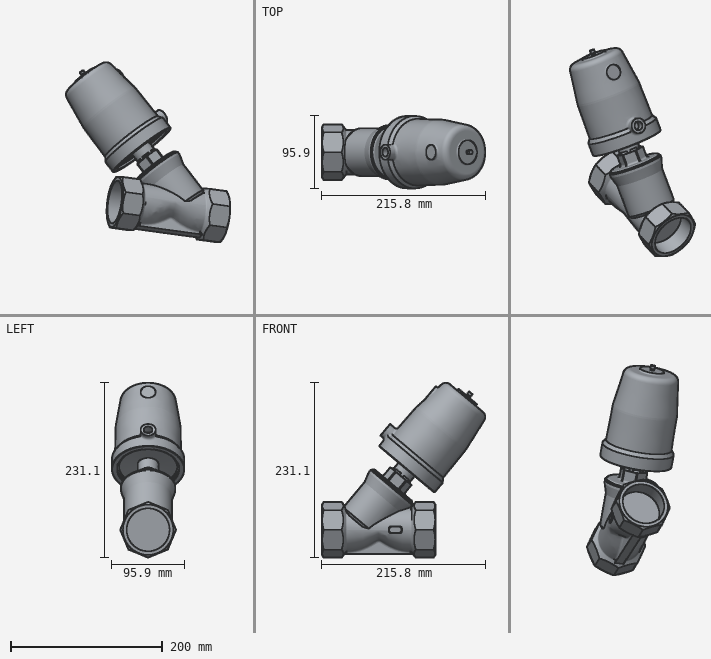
import cadquery as cq
import math

body_length = 150.0
mid_x = body_length / 2
port_flats = 68.1
port_sides = 8
port_corner_radius = port_flats / 2 / math.cos(math.pi / port_sides)
port_bore_diameter = 56.66
port_bore_depth = 24.0
port_face_radius = 33.2
port_face_chamfer = 2.5
port_prism_length = 26.0
pipe_radius = 29.5
port_neck_fillet = 2.0
port_cone_angle = math.radians(50.0)
port_cone_end = port_prism_length + (port_corner_radius - pipe_radius) / math.tan(port_cone_angle)
port_neck_setback = port_neck_fillet * math.tan(port_cone_angle / 2)
port_length = port_cone_end + port_neck_setback
pipe_length = body_length - 2 * port_length

waist_depth = 14.7
waist_half_length = 39.0
waist_rounding = 2.5
waist_sections = 13
web_half_thickness = 6.0
web_bottom = 32.0
web_fillet = 3.0
web_end_overlap = 4.0

plate_x = 97.0
plate_length = 17.6
plate_height = 9.2
plate_corner_radius = 3.5
plate_face_y = 30.4
plate_bevel = 0.8
plate_thickness = 5.0

axis_tilt = 40.0
axis_x = 45.0

branch_start = 8.6
branch_foot_top = 12.0
flare_start = 55.4
rim_start = 69.0
rim_top = 73.0
flange_top = 76.8
hex_top = 92.4
collar_top = 95.4
actuator_bottom = 104.1
skirt_top = 121.3
shell_start = 126.8
band_start = 173.1
band_end = 175.8
actuator_top = 226.9
cap_top = 229.6

branch_radius = 31.85
branch_foot_radius = pipe_radius
rim_radius = 36.0
flange_radius = 34.5
flange_chamfer = 1.8
hex_flats = 32.5
hex_sides = 6
hex_round_diameter = 36.6
hex_base_fillet = 2.8
collar_base_radius = 15.8
neck_radius = 14.0
slot_width = 4.8

skirt_radius = 47.93
skirt_chamfer = 0.6
shell_base_radius = 44.1
band_radius = 43.3
band_step = 0.2
shell_top_radius = 35.9
top_fillet = 8.3
recess_radius = 82.1 / 2
recess_shelf_depth = 3.5
recess_inner_wall_end = 5.0
recess_depth = 8.0
recess_inner_radius = 38.4

air_port_height = 126.0
air_port_face = 55.2
blank_port_height = 202.9
blank_port_face = 41.1
boss_diameter = 20.0
boss_inner_end = 30.0
air_boss_fillet = 3.0
blank_boss_fillet = 2.0
air_bore_diameter = 11.45
air_bore_depth = 12.0

cap_diameter = 32.0
cap_foot_fillet = 1.8
stem_diameter = 5.0
stem_head_diameter = 6.0
stem_head_start = 231.7
stem_top = 235.9


def incline(shape):
    """Move a shape built along Z onto the inclined axis."""
    return shape.rotate((0, 0, 0), (0, 1, 0), axis_tilt).translate((axis_x, 0, 0))


def turned(points):
    """Revolve a (radius, height) outline about Z."""
    return cq.Workplane("XZ").polyline(points).close().revolve(360, (0, 0, 0), (0, 1, 0))


def port():
    """Octagonal end with turned corners and a blind bore, at the left end of the pipe."""
    prism = (
        cq.Workplane("YZ")
        .polygon(port_sides, 2 * port_corner_radius)
        .extrude(port_length)
    )
    fillet_start = (
        port_cone_end - port_neck_setback * math.cos(port_cone_angle),
        pipe_radius + port_neck_setback * math.sin(port_cone_angle),
    )
    fillet_middle = (
        port_length - port_neck_fillet * math.sin(port_cone_angle / 2),
        pipe_radius + port_neck_fillet * (1 - math.cos(port_cone_angle / 2)),
    )
    envelope = (
        cq.Workplane("XY")
        .lineTo(0, port_face_radius)
        .lineTo(port_face_chamfer, port_corner_radius)
        .lineTo(port_prism_length, port_corner_radius)
        .lineTo(*fillet_start)
        .threePointArc(fillet_middle, (port_length, pipe_radius))
        .lineTo(port_length, 0)
        .close()
        .revolve(360, (0, 0, 0), (1, 0, 0))
    )
    bore = cq.Workplane("YZ").circle(port_bore_diameter / 2).extrude(port_bore_depth)
    return prism.intersect(envelope).cut(bore)


def half_pipe_top():
    return (
        cq.Workplane("YZ", origin=(port_length, 0, 0))
        .moveTo(-pipe_radius, 0)
        .threePointArc((0, pipe_radius), (pipe_radius, 0))
        .close()
        .extrude(pipe_length)
    )


def waisted_underside():
    """Lower half of the pipe, pinched upwards at the middle of the body."""
    sections = []
    for i in range(waist_sections):
        x = port_length + pipe_length * i / (waist_sections - 1)
        from_middle = math.hypot(x - mid_x, waist_rounding) - waist_rounding
        rise = max(0.0, 1 - from_middle / waist_half_length)
        depth = pipe_radius - (pipe_radius - waist_depth) * rise**2
        section = (
            cq.Workplane("YZ", origin=(x, 0, 0))
            .moveTo(-pipe_radius, 0)
            .ellipseArc(pipe_radius, depth, 180, 360, startAtCurrent=True)
            .close()
        )
        sections.append(section.val())
    return cq.Workplane(cq.Solid.makeLoft(sections))


def web(length):
    """Upright plate under the pipe, in the middle plane of the body."""
    return cq.Workplane("XY", origin=(mid_x, 0, -web_bottom)).box(
        length, 2 * web_half_thickness, web_bottom, centered=(True, True, False)
    )


def on_web_side(edge):
    """True for the curved edges where a side of the web meets the pipe."""
    on_side = abs(abs(edge.Center().y) - web_half_thickness) < 0.1
    return on_side and edge.geomType() == "BSPLINE"


def pipe():
    shape = half_pipe_top().union(waisted_underside()).union(web(pipe_length))
    joints = [edge for edge in shape.edges().vals() if on_web_side(edge)]
    shape = shape.newObject(joints).fillet(web_fillet)
    return shape.union(web(pipe_length + 2 * web_end_overlap))


def branch():
    """Inclined neck with a flared rim, kept to the upper half of the body."""
    outline = [
        (0, branch_start),
        (branch_foot_radius, branch_start),
        (branch_radius, branch_foot_top),
        (branch_radius, flare_start),
        (rim_radius, rim_start),
        (rim_radius, rim_top),
        (0, rim_top),
    ]
    upper_space = cq.Workplane("XY").box(
        2 * body_length, 2 * body_length, body_length, centered=(True, True, False)
    )
    return incline(turned(outline)).intersect(upper_space)


def marking_plate():
    """Flat raised pad on the front of the pipe."""
    return (
        cq.Workplane("XZ", origin=(plate_x, plate_thickness - plate_face_y, 0))
        .rect(plate_length, plate_height)
        .extrude(plate_thickness)
        .edges("|Y")
        .fillet(plate_corner_radius)
        .faces("<Y")
        .chamfer(plate_bevel)
    )


def make_valve_body():
    left_port = port()
    right_port = left_port.mirror("YZ", (mid_x, 0, 0))
    return pipe().union(branch()).union(marking_plate()).union(left_port).union(right_port)


def make_bonnet():
    """Flange, hexagon nut, slotted collar and neck tube between the body and the actuator."""
    flange = turned([
        (0, rim_top),
        (flange_radius, rim_top),
        (flange_radius, flange_top - flange_chamfer),
        (flange_radius - flange_chamfer, flange_top),
        (0, flange_top),
    ])
    hex_corner_diameter = hex_flats / math.cos(math.pi / hex_sides)
    nut = (
        cq.Workplane("XY", origin=(0, 0, flange_top))
        .polygon(hex_sides, hex_corner_diameter)
        .extrude(hex_top - flange_top)
    )
    nut = nut.intersect(
        cq.Workplane("XY", origin=(0, 0, flange_top))
        .circle(hex_round_diameter / 2)
        .extrude(hex_top - flange_top)
    )
    bonnet = flange.union(nut)
    bonnet = bonnet.edges(
        cq.selectors.BoxSelector((-20, -20, flange_top - 0.1), (20, 20, flange_top + 0.1))
    ).fillet(hex_base_fillet)
    collar = turned([
        (0, hex_top), (collar_base_radius, hex_top), (neck_radius, collar_top), (0, collar_top)
    ])
    slots = (
        cq.Workplane("XY", origin=(0, 0, hex_top))
        .polarArray(collar_base_radius, 30, 360, hex_sides)
        .rect(2 * collar_base_radius, slot_width)
        .extrude(collar_top - hex_top)
    )
    neck = (
        cq.Workplane("XY", origin=(0, 0, flange_top))
        .circle(neck_radius)
        .extrude(actuator_bottom + recess_depth - flange_top)
    )
    return incline(bonnet.union(collar.cut(slots)).union(neck))


def add_boss(shell, height, face, foot_fillet):
    """Add a round boss on the -X side of the shell, with a fillet at its foot."""
    boss = (
        cq.Workplane("YZ", origin=(-face, 0, height))
        .circle(boss_diameter / 2)
        .extrude(face - boss_inner_end)
    )
    joined = shell.union(boss)
    reach = boss_diameter / 2 + 1
    foot = cq.selectors.BoxSelector(
        (-face + 1, -reach, height - reach), (-boss_inner_end, reach, height + reach)
    )
    joints = [edge for edge in joined.edges(foot).vals() if edge.geomType() == "BSPLINE"]
    return joined.newObject(joints).fillet(foot_fillet)


def make_actuator():
    """Tapered housing with two bosses, a recess underneath and an indicator stem on top."""
    shell = turned([
        (0, actuator_bottom),
        (skirt_radius - skirt_chamfer, actuator_bottom),
        (skirt_radius, actuator_bottom + skirt_chamfer),
        (skirt_radius, skirt_top),
        (shell_base_radius, shell_start),
        (band_radius, band_start),
        (band_radius - band_step, band_end),
        (shell_top_radius, actuator_top),
        (0, actuator_top),
    ])
    shell = shell.faces(">Z").edges().fillet(top_fillet)
    shell = add_boss(shell, air_port_height, air_port_face, air_boss_fillet)
    shell = add_boss(shell, blank_port_height, blank_port_face, blank_boss_fillet)
    air_bore = (
        cq.Workplane("YZ", origin=(-air_port_face, 0, air_port_height))
        .circle(air_bore_diameter / 2)
        .extrude(air_bore_depth)
    )
    recess = turned([
        (0, actuator_bottom),
        (recess_radius, actuator_bottom),
        (recess_radius, actuator_bottom + recess_shelf_depth),
        (recess_inner_radius, actuator_bottom + recess_shelf_depth),
        (recess_inner_radius, actuator_bottom + recess_inner_wall_end),
        (neck_radius, actuator_bottom + recess_depth),
        (0, actuator_bottom + recess_depth),
    ])
    cap = (
        cq.Workplane("XY", origin=(0, 0, actuator_top))
        .circle(cap_diameter / 2)
        .extrude(cap_top - actuator_top)
    )
    shell = shell.union(cap)
    cap_foot = cq.selectors.RadiusNthSelector(0)
    shell = (
        shell.edges(cq.selectors.BoxSelector(
            (-cap_diameter, -cap_diameter, actuator_top - 0.1),
            (cap_diameter, cap_diameter, actuator_top + 0.1),
        ))
        .edges(cap_foot)
        .fillet(cap_foot_fillet)
    )
    stem = turned([
        (0, cap_top),
        (stem_diameter / 2, cap_top),
        (stem_diameter / 2, stem_head_start),
        (stem_head_diameter / 2, stem_head_start),
        (stem_head_diameter / 2, stem_top),
        (0, stem_top),
    ])
    return incline(shell.cut(air_bore).cut(recess).union(stem))


valve_body = make_valve_body()
bonnet = make_bonnet()
actuator = make_actuator()
result = cq.Compound.makeCompound([valve_body.val(), bonnet.val(), actuator.val()])